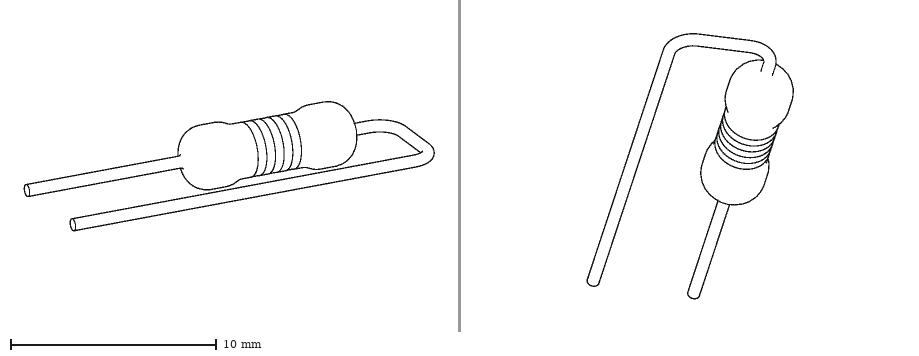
import cadquery as cq
import math


lead_diameter = 0.6
lead_radius = lead_diameter / 2
bend_radius = 1.2
overall_length = 20.1
overall_width = 6.9
body_centre_to_top = 7.01

cap_diameter = 3.2
band_diameter = 2.73
groove_diameter = 2.71
band_count = 4
waist_half_length = 1.65
cap_inner_y = 2.55
cap_outer_y = 3.4
dome_radius = 1.1
fillet_radius = 0.3

cap_radius = cap_diameter / 2
band_radius = band_diameter / 2
groove_radius = groove_diameter / 2
strip_count = 2 * band_count - 1
strip_width = 2 * waist_half_length / strip_count
lead_spacing = overall_width - cap_radius - lead_radius

dome_centre_r = cap_radius - dome_radius
fillet_centre_r = lead_radius + fillet_radius
centre_offset_r = fillet_centre_r - dome_centre_r
centre_offset_y = math.sqrt((dome_radius + fillet_radius) ** 2 - centre_offset_r ** 2)
fillet_end_y = cap_outer_y + centre_offset_y
contact_angle = math.atan2(centre_offset_y, centre_offset_r)


def dome_point(angle):
    return (
        dome_centre_r + dome_radius * math.cos(angle),
        cap_outer_y + dome_radius * math.sin(angle),
    )


def fillet_point(angle):
    return (
        fillet_centre_r + fillet_radius * math.cos(angle),
        fillet_end_y + fillet_radius * math.sin(angle),
    )


def make_end_cap():
    """Revolve the cap on the +Y end, from the waist out to the straight lead."""
    shoulder_height = cap_radius - band_radius
    shoulder_length = cap_inner_y - waist_half_length
    shoulder_angle = 2 * math.atan2(shoulder_height, shoulder_length)
    shoulder_radius = shoulder_length / (2 * math.sin(shoulder_angle))
    shoulder_middle = (band_radius + shoulder_height / 2, waist_half_length + shoulder_length / 2)
    half_arc_rise = shoulder_radius * (1 - math.cos(shoulder_angle / 2))
    half_arc_run = shoulder_radius * math.sin(shoulder_angle / 2)

    fillet_start_angle = contact_angle + math.pi
    fillet_middle_angle = (fillet_start_angle + math.pi) / 2
    return (
        cq.Workplane("XY")
        .moveTo(0, waist_half_length)
        .lineTo(band_radius, waist_half_length)
        .threePointArc(
            (band_radius + half_arc_rise, waist_half_length + half_arc_run), shoulder_middle
        )
        .threePointArc(
            (cap_radius - half_arc_rise, cap_inner_y - half_arc_run), (cap_radius, cap_inner_y)
        )
        .lineTo(cap_radius, cap_outer_y)
        .threePointArc(dome_point(contact_angle / 2), dome_point(contact_angle))
        .threePointArc(fillet_point(fillet_middle_angle), (lead_radius, fillet_end_y))
        .lineTo(0, fillet_end_y)
        .close()
        .revolve(360, (0, 0, 0), (0, 1, 0))
    )


def make_strip(index):
    """One cylinder of the waist: bands at even places, the slimmer grooves between them."""
    radius = band_radius if index % 2 == 0 else groove_radius
    start_y = -waist_half_length + index * strip_width
    return cq.Workplane("XZ", origin=(0, start_y, 0)).circle(radius).extrude(-strip_width)


def make_lead():
    """Sweep the wire up through the body, across, and back down to the same end."""
    lead_end_y = body_centre_to_top - overall_length
    crossbar_y = body_centre_to_top - lead_radius
    bend_start_y = crossbar_y - bend_radius
    bend_inset = bend_radius * (1 - math.sqrt(0.5))
    path = (
        cq.Workplane("XY")
        .moveTo(0, lead_end_y)
        .lineTo(0, bend_start_y)
        .threePointArc((bend_inset, crossbar_y - bend_inset), (bend_radius, crossbar_y))
        .lineTo(lead_spacing - bend_radius, crossbar_y)
        .threePointArc(
            (lead_spacing - bend_inset, crossbar_y - bend_inset), (lead_spacing, bend_start_y)
        )
        .lineTo(lead_spacing, lead_end_y)
    )
    return cq.Workplane("XZ", origin=(0, lead_end_y, 0)).circle(lead_radius).sweep(path)


end_cap = make_end_cap()
result = make_lead().union(end_cap).union(end_cap.mirror("XZ"))
for strip_index in range(strip_count):
    result = result.union(make_strip(strip_index))